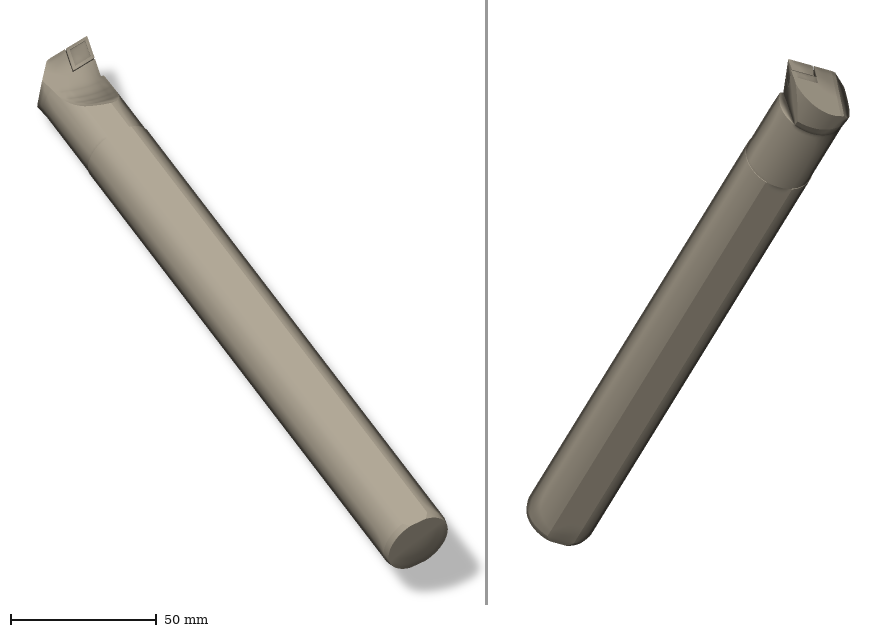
import cadquery as cq
import math

total_length = 249.5
shank_radius = 12.5
flat_height = 11.5
neck_radius = 12.2
neck_start = 19.5
shank_start = 49.5
end_chamfer_length = 2.2
end_chamfer_depth = 0.62

head_radius = 14.5
head_offset = 2.0
head_taper_start = 14.2

rake_height = 5.0
side_tilt = 15.0
rake_rise = 3.0
runout_center = (-11.2, 1.7)
runout_flat_radius = 33.7
runout_curve_radius = 23.0

tip = (-0.35, 17.5)
front_direction = -73.0
insert_angle = 55.0
insert_edge = 11.2
insert_thickness = 4.0
nose_radius = 0.2
relief_angle = 7.0
chip_groove_inset = 1.2
chip_groove_depth = 0.2
pocket_gap = 0.5
pocket_overrun = 2.5

seat_recess_height = 3.0
seat_recess_depth = 0.7
seat_recess_overrun = 1.0

corner_start = 19.7
corner_facet = (0.87, -1.87)
corner_cut_angle = -40.0
head_relief_angle = 3.0
trim_reach = 30.0

rake_slope = math.tan(math.radians(rake_rise))
side_slope = math.tan(math.radians(side_tilt))
rake_plane = cq.Plane(
    origin=(0, 0, rake_height),
    xDir=(1, 0, rake_slope),
    normal=(-rake_slope, side_slope, 1),
)
back_direction = front_direction + insert_angle


def step(point, angle, distance):
    """Point reached from another by moving along an angle in degrees."""
    turn = math.radians(angle)
    return (point[0] + distance * math.cos(turn), point[1] + distance * math.sin(turn))


def rhombus(corner, edge):
    """Corners of the insert shape, starting at its tip."""
    front = step(corner, front_direction, edge)
    back = step(corner, back_direction, edge)
    far = step(front, back_direction, edge)
    return [corner, front, far, back]


def rod(radius, start, end):
    return cq.Workplane("YZ", origin=(start, 0, 0)).circle(radius).extrude(end - start)


def flat_trim(bottom):
    """Long block whose top is the upper flat."""
    width = 2 * trim_reach
    return cq.Workplane("XY", origin=(total_length / 2, 0, bottom)).box(
        total_length, width, flat_height - bottom, centered=(True, True, False)
    )


def make_shank():
    chamfer_start = total_length - end_chamfer_length
    round_shank = (
        cq.Workplane("XY")
        .moveTo(shank_start, 0)
        .lineTo(shank_start, shank_radius)
        .lineTo(chamfer_start, shank_radius)
        .lineTo(total_length, shank_radius - end_chamfer_depth)
        .lineTo(total_length, 0)
        .close()
        .revolve(360, (0, 0), (1, 0))
    )
    return round_shank.intersect(flat_trim(-flat_height))


def make_neck():
    return rod(neck_radius, neck_start, shank_start).intersect(flat_trim(-trim_reach))


def make_head():
    round_head = cq.Workplane("YZ").center(head_offset, 0).circle(head_radius).extrude(head_taper_start)
    taper = (
        cq.Workplane("YZ", origin=(head_taper_start, 0, 0))
        .center(head_offset, 0)
        .circle(head_radius)
        .workplane(offset=neck_start - head_taper_start)
        .center(-head_offset, 0)
        .circle(neck_radius)
        .loft()
    )
    corner = step(tip, front_direction, corner_start)
    corner_end = (corner[0] + corner_facet[0], corner[1] + corner_facet[1])
    outline = [
        tip,
        corner,
        corner_end,
        step(corner_end, corner_cut_angle, trim_reach),
        (trim_reach, -trim_reach),
        step(tip, back_direction, trim_reach),
    ]
    prism = cq.Workplane(rake_plane).polyline(outline).close().extrude(-trim_reach, taper=head_relief_angle)
    return round_head.union(taper).intersect(prism)


def make_runout():
    """Material above the rake face, with a concave rise toward the shank."""
    sketch_plane = cq.Plane(
        origin=rake_plane.toWorldCoords((*runout_center, 0)),
        xDir=rake_plane.xDir,
        normal=-rake_plane.yDir,
    )
    bend = runout_curve_radius * math.sqrt(0.5)
    curve_end = runout_flat_radius + runout_curve_radius
    return (
        cq.Workplane(sketch_plane)
        .lineTo(runout_flat_radius, 0)
        .threePointArc(
            (runout_flat_radius + bend, runout_curve_radius - bend),
            (curve_end, runout_curve_radius),
        )
        .lineTo(0, runout_curve_radius)
        .close()
        .revolve(360, (0, 0), (0, 1))
    )


def make_pocket():
    """Insert pocket, open at the tip and clear of the insert's back walls."""
    front, far, back = rhombus(tip, insert_edge + pocket_gap)[1:]
    outline = [
        step(front, back_direction, -pocket_overrun),
        far,
        step(back, front_direction, -pocket_overrun),
        step(step(tip, back_direction, -pocket_overrun), front_direction, -pocket_overrun),
    ]
    return cq.Workplane(rake_plane).polyline(outline).close().extrude(-insert_thickness)


def make_seat_recess():
    """Shallow step in the leading face, just below the pocket floor."""
    end = step(tip, front_direction, insert_edge + seat_recess_overrun)
    outline = [
        tip,
        end,
        step(end, front_direction + 90, seat_recess_depth),
        step(tip, front_direction + 90, seat_recess_depth),
    ]
    floor = cq.Workplane(rake_plane).workplane(offset=-insert_thickness)
    return floor.polyline(outline).close().extrude(-seat_recess_height)


def make_holder():
    body = make_shank().union(make_neck()).union(make_head())
    return body.cut(make_runout()).cut(make_pocket()).cut(make_seat_recess())


def make_insert():
    blank = (
        cq.Workplane(rake_plane)
        .polyline(rhombus(tip, insert_edge))
        .close()
        .offset2D(-nose_radius)
        .offset2D(nose_radius)
        .extrude(-insert_thickness, taper=relief_angle)
    )
    groove = (
        cq.Workplane(rake_plane)
        .polyline(rhombus(tip, insert_edge))
        .close()
        .offset2D(-chip_groove_inset)
        .extrude(-chip_groove_depth)
    )
    return blank.cut(groove)


holder = make_holder()
insert = make_insert()

result = cq.Compound.makeCompound([holder.solids().val(), insert.val()])